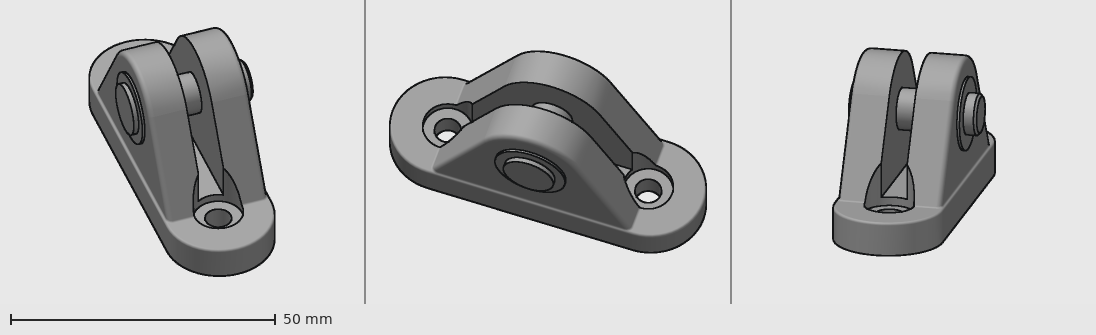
import cadquery as cq
import math

base_length = 62.0
base_width = 21.0
base_height = 6.5
base_edge_fillet = 0.5

screw_spacing = 40.0
screw_diameter = 5.0
counterbore_diameter = 9.5
counterbore_depth = 1.7

total_height = 30.0
ear_top_radius = 11.0
ear_slope = math.radians(60)
clevis_width = 20.0
slot_width = 5.0
ear_edge_fillet = 1.0
ear_root_fillet = 0.5

boss_diameter = 14.0

pin_diameter = 8.0
pin_head_diameter = 10.0
pin_head_height = 1.0
pin_tail_length = 2.5
pin_tail_chamfer = 0.5

axis_height = total_height - ear_top_radius


def cylinder_along_y(diameter, start_y, end_y):
    """Cylinder on the pin axis between two Y positions."""
    return (
        cq.Workplane("XZ", origin=(0, start_y, axis_height))
        .circle(diameter / 2)
        .extrude(start_y - end_y)
    )


def make_base():
    base = cq.Workplane("XY").slot2D(base_length, base_width).extrude(base_height)
    return base.faces(">Z").edges().fillet(base_edge_fillet)


def make_clevis_block():
    """Solid block with the ear outline; each side is tangent to the round top."""
    tangent_x = ear_top_radius * math.sin(ear_slope)
    tangent_z = axis_height + ear_top_radius * math.cos(ear_slope)
    foot_x = tangent_x + (tangent_z - base_height) / math.tan(ear_slope)
    block = (
        cq.Workplane("XZ", origin=(0, clevis_width / 2, 0))
        .moveTo(-foot_x, base_height)
        .lineTo(-tangent_x, tangent_z)
        .threePointArc((0, total_height), (tangent_x, tangent_z))
        .lineTo(foot_x, base_height)
        .close()
        .extrude(clevis_width)
    )
    outer_rims = block.faces("<Y or >Y").edges("not <Z")
    return outer_rims.fillet(ear_edge_fillet)


def make_filleted_body():
    """Base and clevis block joined, with a fillet all round the foot of the block."""
    body = make_base().union(make_clevis_block())
    tolerance = 0.005
    foot_box = cq.selectors.BoxSelector(
        (-screw_spacing / 2, -clevis_width / 2 - tolerance, base_height - tolerance),
        (screw_spacing / 2, clevis_width / 2 + tolerance, base_height + tolerance),
        boundingbox=True,
    )
    return body.edges(foot_box).fillet(ear_root_fillet)


def make_slot():
    return (
        cq.Workplane("XY", origin=(0, 0, base_height))
        .rect(base_length, slot_width)
        .extrude(total_height)
    )


def make_screw_cutter(x):
    """Through hole and a counterbore that also clears the feet of the ears."""
    hole = cq.Workplane("XY", origin=(x, 0, 0)).circle(screw_diameter / 2).extrude(base_height)
    counterbore = (
        cq.Workplane("XY", origin=(x, 0, base_height - counterbore_depth))
        .circle(counterbore_diameter / 2)
        .extrude(total_height)
    )
    return hole.union(counterbore)


def make_bracket():
    bosses = cylinder_along_y(boss_diameter, -base_width / 2, base_width / 2)
    bracket = make_filleted_body().union(bosses).cut(make_slot())
    for x in (-screw_spacing / 2, screw_spacing / 2):
        bracket = bracket.cut(make_screw_cutter(x))
    return bracket.cut(cylinder_along_y(pin_diameter, -base_width / 2, base_width / 2))


def make_pin():
    """Pin whose head rests on the -Y boss and whose tail stands out of the +Y boss."""
    head_seat_y = -base_width / 2
    tail_end_y = base_width / 2 + pin_tail_length
    shank = cylinder_along_y(pin_diameter, head_seat_y, tail_end_y)
    shank = shank.faces(">Y").edges().chamfer(pin_tail_chamfer)
    head = cylinder_along_y(pin_head_diameter, head_seat_y - pin_head_height, head_seat_y)
    return shank.union(head)


bracket = make_bracket()
pin = make_pin()

result = cq.Compound.makeCompound([bracket.val(), pin.val()])